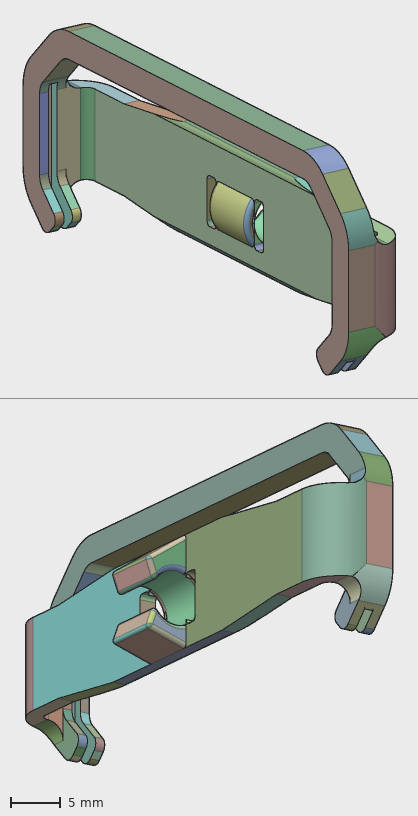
import cadquery as cq
import math

length = 58.7
height = 22.7
half_length = length / 2

frame_depth = 3.15
frame_wall = 3.0
bevel_leg = 6.15
elbow_z = 3.7
outer_bend_radius = 5.0
inner_bend_radius = outer_bend_radius - frame_wall
tip_radius = 1.0
hook_run = elbow_z + tip_radius * (math.sqrt(2) - 1)
shoulder_z = height - bevel_leg
miter = frame_wall * math.tan(math.radians(22.5))
inner_shoulder_z = shoulder_z - miter
inner_elbow_z = elbow_z + miter

groove_width = 1.0
groove_depth = 1.0

strap_back = 7.85
strap_thickness = 1.9
strap_front = strap_back - strap_thickness
strap_center_z = 9.15
strap_half_height = 4.95
strap_low = strap_center_z - strap_half_height
strap_high = strap_center_z + strap_half_height
strap_bend_outer = strap_back - frame_depth
strap_bend_inner = 1.05
flare_radius = 1.9

middle_half_height = 6.0
middle_low = strap_center_z - middle_half_height
middle_high = strap_center_z + middle_half_height
middle_half_length = 10.0
taper_end_x = 20.0
middle_edge_radius = 0.5

clip_width = 6.85
clip_half_width = clip_width / 2
clip_y = 8.85
clip_z = 8.35
bore_radius = 2.9
shell_radius = 3.9
jaw_tip_y = 12.5
jaw_tip_half_height = 3.7
jaw_mouth_y = 11.15
jaw_tip_radius = 0.35
clip_edge_radius = 0.45

slot_width = 1.65
slot_height = 5.45
slot_corner_radius = 0.5


def rounded_outline(corners):
    """Closed XZ outline through (x, z, radius) corners, facing -Y."""
    starts = []
    middles = []
    ends = []
    for i, (x, z, radius) in enumerate(corners):
        corner = cq.Vector(x, z)
        before = corners[i - 1]
        after = corners[(i + 1) % len(corners)]
        to_before = (cq.Vector(before[0], before[1]) - corner).normalized()
        to_after = (cq.Vector(after[0], after[1]) - corner).normalized()
        half_angle = to_before.getAngle(to_after) / 2
        tangent = radius / math.tan(half_angle)
        bisector = (to_before + to_after).normalized()
        starts.append(corner + to_before * tangent)
        middles.append(corner + bisector * (radius / math.sin(half_angle) - radius))
        ends.append(corner + to_after * tangent)

    outline = cq.Workplane("XZ").moveTo(ends[-1].x, ends[-1].y)
    for start, middle, end in zip(starts, middles, ends):
        outline = outline.lineTo(start.x, start.y)
        outline = outline.threePointArc((middle.x, middle.y), (end.x, end.y))
    return outline.close()


def mirrored(right_side):
    """Corners of the right side followed by their mirror images."""
    return right_side + [(-x, z, radius) for x, z, radius in reversed(right_side)]


def box_between(x_range, y_range, z_range):
    """Box filling the given (low, high) ranges."""
    size = [high - low for low, high in (x_range, y_range, z_range)]
    return cq.Workplane("XY").box(*size, centered=False).translate((x_range[0], y_range[0], z_range[0]))


tip_offset = frame_wall / math.sqrt(2)
inner_side = [
    (half_length - bevel_leg - miter, height - frame_wall, inner_bend_radius),
    (half_length - frame_wall, inner_shoulder_z, inner_bend_radius),
    (half_length - frame_wall, inner_elbow_z, inner_bend_radius),
    (half_length - hook_run - tip_offset, elbow_z - hook_run + tip_offset, tip_radius),
]
outer_side = [
    (half_length - hook_run, elbow_z - hook_run, tip_radius),
    (half_length, elbow_z, outer_bend_radius),
    (half_length, shoulder_z, outer_bend_radius),
    (half_length - bevel_leg, height, outer_bend_radius),
]


def open_ring():
    """Front frame with its mouth between the two hooks."""
    return rounded_outline(mirrored(inner_side + outer_side)).extrude(-frame_depth)


def groove():
    """Straight-sided cutter, leaving a flat floor in each arm and opening through each hook."""
    half_width = half_length - frame_wall + groove_depth
    y_start = (frame_depth - groove_width) / 2
    return box_between(
        (-half_width, half_width),
        (y_start, y_start + groove_width),
        (elbow_z - hook_run, inner_shoulder_z),
    )


def flared_heights():
    """Strap height along Y, growing in concave curves toward the back of the frame."""
    flare_end_y = frame_depth + flare_radius
    curve = flare_radius * (1 - math.sqrt(0.5))
    return (
        cq.Workplane("YZ")
        .moveTo(frame_depth, strap_low - flare_radius)
        .threePointArc((frame_depth + curve, strap_low - curve), (flare_end_y, strap_low))
        .lineTo(strap_back, strap_low)
        .lineTo(strap_back, strap_high)
        .lineTo(flare_end_y, strap_high)
        .threePointArc((frame_depth + curve, strap_high + curve), (frame_depth, strap_high + flare_radius))
        .close()
        .extrude(half_length, both=True)
    )


def strap():
    """U-shaped band, taller in the middle, cut to the outer shape of the frame."""
    bent = (
        box_between((-half_length, half_length), (0, strap_back), (0, height))
        .edges("|Z and >Y")
        .fillet(strap_bend_outer)
    )
    inner_half = half_length - frame_wall
    hollow = (
        box_between((-inner_half, inner_half), (0, strap_front), (0, height))
        .edges("|Z and >Y")
        .fillet(strap_bend_inner)
    )
    tapered_middle = (
        cq.Workplane("XZ", origin=(0, strap_front, 0))
        .polyline([
            (-taper_end_x, strap_low), (-middle_half_length, middle_low),
            (middle_half_length, middle_low), (taper_end_x, strap_low),
            (taper_end_x, strap_high), (middle_half_length, middle_high),
            (-middle_half_length, middle_high), (-taper_end_x, strap_high),
        ])
        .close()
        .extrude(-strap_thickness)
    )
    rounded_bar = (
        box_between((-taper_end_x, taper_end_x), (strap_front, strap_back), (middle_low, middle_high))
        .edges("|X and <Y")
        .fillet(middle_edge_radius)
    )
    frame_shape = rounded_outline(mirrored(outer_side)).extrude(-strap_back)
    band = bent.cut(hollow).intersect(flared_heights()).intersect(frame_shape)
    return band.union(tapered_middle.intersect(rounded_bar))


def clip_cylinder(radius):
    return (
        cq.Workplane("YZ")
        .center(clip_y, clip_z)
        .circle(radius)
        .extrude(clip_half_width, both=True)
    )


def clip():
    """Two jaws around a tube-shaped shell that bulges forward through the strap."""
    root_y = strap_front + middle_edge_radius
    jaws = (
        cq.Workplane("YZ")
        .polyline([
            (root_y, middle_low), (strap_back, middle_low),
            (jaw_tip_y, clip_z - jaw_tip_half_height),
            (jaw_mouth_y, clip_z),
            (jaw_tip_y, clip_z + jaw_tip_half_height),
            (strap_back, middle_high), (root_y, middle_high),
        ])
        .close()
        .extrude(clip_half_width, both=True)
    )
    shell = clip_cylinder(shell_radius).intersect(
        box_between((-half_length, half_length), (0, strap_back), (0, height))
    )
    body = jaws.union(shell).cut(clip_cylinder(bore_radius))
    jaw_ends = cq.selectors.BoxSelector(
        (-clip_half_width, jaw_mouth_y, clip_z - jaw_tip_half_height - jaw_tip_radius),
        (clip_half_width, jaw_tip_y + jaw_tip_radius, clip_z + jaw_tip_half_height + jaw_tip_radius),
    )
    body = body.edges("|X").edges(jaw_ends).fillet(jaw_tip_radius)
    return body.faces("<X or >X").edges().fillet(clip_edge_radius)


def slots():
    offset = clip_half_width + slot_width / 2
    return (
        cq.Workplane("XZ")
        .pushPoints([(-offset, clip_z), (offset, clip_z)])
        .rect(slot_width, slot_height)
        .extrude(-strap_back)
        .edges("|Y")
        .fillet(slot_corner_radius)
    )


holder = open_ring().union(strap()).cut(groove())
holder = holder.cut(slots()).cut(clip_cylinder(bore_radius))
result = holder.union(clip())